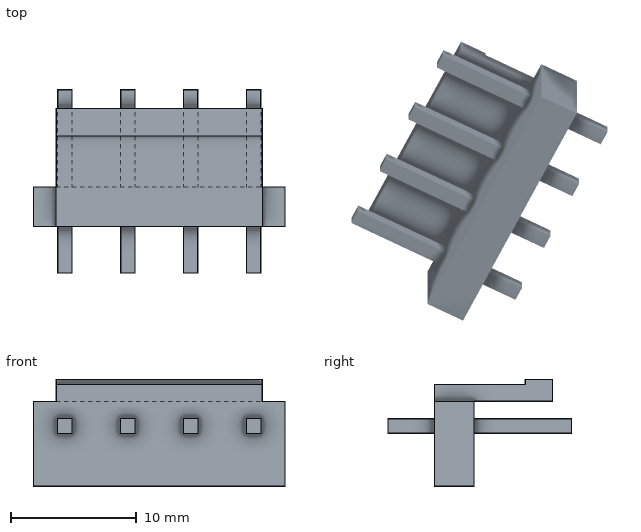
import cadquery as cq

wall_length = 20.0
wall_depth = 3.15
wall_height = 6.75

total_height = 8.5
plate_length = 16.4
plate_depth = 9.4
lip_depth = 2.2
lip_rise = 0.4
plate_thickness = total_height - wall_height - lip_rise

pin_count = 4
pin_pitch = 5.0
pin_size = 1.15
pin_length = 14.6
pin_front_reach = 3.7
pin_center_height = 4.8


def block(length, depth, height, center_x, front_y, bottom_z):
    """Box centred in X, starting at the given front and bottom faces."""
    return cq.Workplane("XY").box(length, depth, height, centered=(True, False, False)).translate(
        (center_x, front_y, bottom_z)
    )


wall = block(wall_length, wall_depth, wall_height, 0, 0, 0)
plate = block(plate_length, plate_depth, plate_thickness, 0, 0, wall_height)
lip = block(plate_length, lip_depth, lip_rise, 0, plate_depth - lip_depth, wall_height + plate_thickness)

result = wall.union(plate).union(lip)

for index in range(pin_count):
    pin_x = (index - (pin_count - 1) / 2) * pin_pitch
    pin_bottom = pin_center_height - pin_size / 2
    pin = block(pin_size, pin_length, pin_size, pin_x, -pin_front_reach, pin_bottom)
    result = result.union(pin)

result = result.clean()